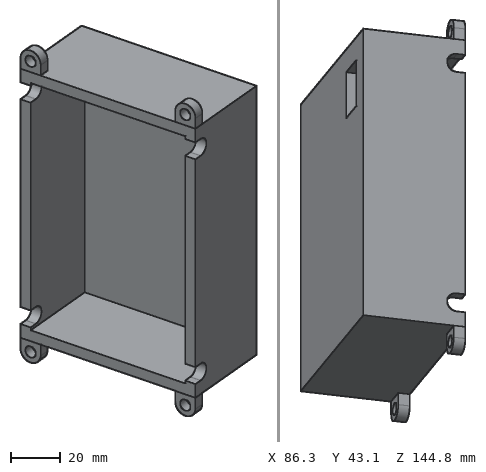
import cadquery as cq

width = 86.3
depth = 43.1
overall_height = 144.8

lug_width = 10.0
lug_radius = lug_width / 2
lug_reach = 10.0
lug_thickness = 4.9
lug_hole_diameter = 5.0

wall = 5.0
housing_height = overall_height - 2 * lug_reach
front_y = -depth / 2

window_width = 13.6
window_height = 20.0
window_inset = 4.9

notch_width = 7.8
notch_depth = 7.7
notch_offset = 10.3


def box_between(x_min, x_max, y_min, y_max, z_min, z_max):
    size = (x_max - x_min, y_max - y_min, z_max - z_min)
    return cq.Workplane("XY").box(*size, centered=False).translate((x_min, y_min, z_min))


def make_cavity():
    half_width = width / 2 - wall
    half_height = housing_height / 2 - wall
    return box_between(-half_width, half_width, front_y, depth / 2 - wall, -half_height, half_height)


def make_window():
    left = -width / 2 + wall + window_inset
    top = housing_height / 2 - wall - window_inset
    return box_between(left, left + window_width, front_y, depth / 2, top - window_height, top)


def make_notch(z_center):
    """Notch cutter that passes through both side walls."""
    radius = notch_width / 2
    arc_center_y = front_y + notch_depth - radius
    return (
        cq.Workplane("YZ", origin=(-width / 2, 0, 0))
        .moveTo(front_y, z_center - radius)
        .lineTo(arc_center_y, z_center - radius)
        .threePointArc((front_y + notch_depth, z_center), (arc_center_y, z_center + radius))
        .lineTo(front_y, z_center + radius)
        .close()
        .extrude(width)
    )


def make_housing():
    body = cq.Workplane("XY").box(width, depth, housing_height)
    body = body.cut(make_cavity()).cut(make_window())
    for side in (-1, 1):
        body = body.cut(make_notch(side * (housing_height / 2 - notch_offset)))
    return body


def make_lug(x_side, z_side):
    """Round-ended lug standing on one end of the housing, flush with its mouth and side."""
    x_center = x_side * (width / 2 - lug_radius)
    base_z = z_side * housing_height / 2
    tip_z = z_side * overall_height / 2
    hole_z = tip_z - z_side * lug_radius
    lug = (
        cq.Workplane("XZ", origin=(0, front_y, 0))
        .moveTo(x_center - lug_radius, base_z)
        .lineTo(x_center - lug_radius, hole_z)
        .threePointArc((x_center, tip_z), (x_center + lug_radius, hole_z))
        .lineTo(x_center + lug_radius, base_z)
        .close()
        .extrude(-lug_thickness)
    )
    hole = (
        cq.Workplane("XZ", origin=(x_center, front_y, hole_z))
        .circle(lug_hole_diameter / 2)
        .extrude(-lug_thickness)
    )
    return lug.cut(hole)


housing = make_housing()
lugs = [make_lug(x_side, z_side) for x_side in (-1, 1) for z_side in (-1, 1)]

result = cq.Compound.makeCompound([housing.val(), *[lug.val() for lug in lugs]])